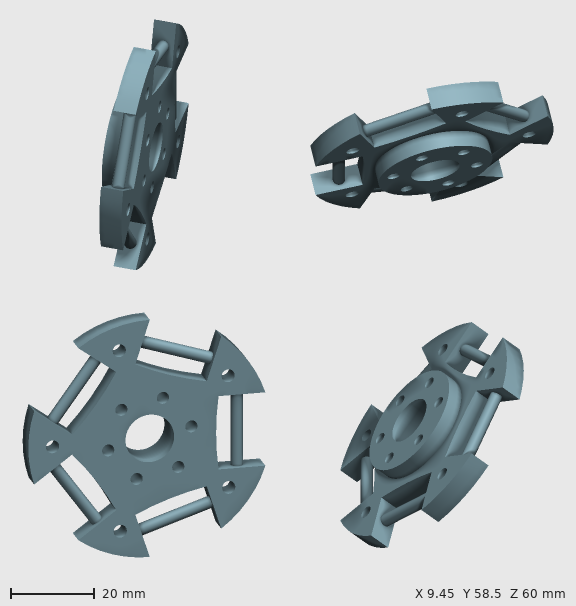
import cadquery as cq
import math

outer_radius = 30.0
arm_count = 5
arm_pitch = 360 / arm_count
plate_thickness = 5.5

hub_diameter = 28.0
hub_height = 3.95
bore_diameter = 12.0
bolt_hole_count = 6
bolt_hole_diameter = 3.0
bolt_circle_radius = 10.5
bolt_start_angle = 12.0

window_half_width = outer_radius * math.sin(math.radians(arm_pitch / 4))
window_floor_middle = 16.4
window_floor_end = 17.0
window_outer_end = outer_radius + 3.0

bar_diameter = 3.0
bar_offset = 22.15

arm_hole_diameter = 3.25
arm_hole_radius = 24.0
arm_hole_start_angle = 180.3


def make_window():
    """Cutter for the window centred on +Y."""
    return (
        cq.Workplane("YZ")
        .moveTo(window_outer_end, -window_half_width)
        .lineTo(window_floor_end, -window_half_width)
        .threePointArc((window_floor_middle, 0), (window_floor_end, window_half_width))
        .lineTo(window_outer_end, window_half_width)
        .close()
        .extrude(plate_thickness)
    )


def make_bar():
    """Bar across the +Y window, at mid thickness, from wall to wall."""
    return (
        cq.Workplane("XY", origin=(0, 0, -window_half_width))
        .center(plate_thickness / 2, bar_offset)
        .circle(bar_diameter / 2)
        .extrude(2 * window_half_width)
    )


def make_hole_ring(circle_radius, start_angle, count, diameter):
    """Cutters for a ring of holes through the plate and hub."""
    return (
        cq.Workplane("YZ", origin=(-hub_height, 0, 0))
        .polarArray(circle_radius, start_angle, 360, count)
        .circle(diameter / 2)
        .extrude(hub_height + plate_thickness)
    )


plate = cq.Workplane("YZ").circle(outer_radius).extrude(plate_thickness)
hub = cq.Workplane("YZ").circle(hub_diameter / 2).extrude(-hub_height)
bore = (
    cq.Workplane("YZ", origin=(-hub_height, 0, 0))
    .circle(bore_diameter / 2)
    .extrude(hub_height + plate_thickness)
)
bolt_holes = make_hole_ring(bolt_circle_radius, bolt_start_angle, bolt_hole_count, bolt_hole_diameter)
arm_holes = make_hole_ring(arm_hole_radius, arm_hole_start_angle, arm_count, arm_hole_diameter)

result = plate.union(hub).cut(bore).cut(bolt_holes).cut(arm_holes)

for index in range(arm_count):
    angle = index * arm_pitch
    window = make_window().rotate((0, 0, 0), (1, 0, 0), angle)
    bar = make_bar().rotate((0, 0, 0), (1, 0, 0), angle)
    result = result.cut(window).union(bar)